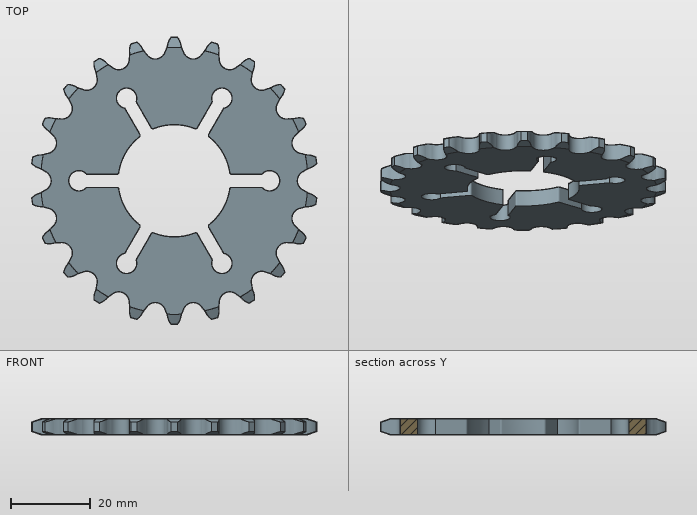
import cadquery as cq
import math

TOOTH_COUNT = 22
THICKNESS = 4.0
TIP_RADIUS = 36.0

PITCH_RADIUS = 33.45
SEAT_RADIUS = 2.6
SEAT_HALF_ANGLE = 68.0
FLANK_TOP_RADIUS = 33.8
FLANK_TOP_HALF_WIDTH = 1.7
TIP_HALF_WIDTH = 0.8
FLANK_ARC_RADIUS = 7.2
TOP_ARC_RADIUS = 4.3

BEVEL_START_RADIUS = 33.45
TIP_THICKNESS = 2.4
BEVEL_OVERHANG = 0.7

BORE_RADIUS = 14.0
SLOT_COUNT = 6
SLOT_WIDTH = 3.25
SLOT_END_DISTANCE = 23.9
SLOT_END_RADIUS = 2.5
SLOT_MOUTH_FILLET = 0.5

TOOTH_PITCH = 360.0 / TOOTH_COUNT


def turned(point, degrees):
    """Rotate a point about the sprocket axis."""
    angle = math.radians(degrees)
    x, y = point
    return (
        x * math.cos(angle) - y * math.sin(angle),
        x * math.sin(angle) + y * math.cos(angle),
    )


def seat_point(degrees):
    """Point on the roller seat at +Y, measured from the bottom of the seat."""
    angle = math.radians(degrees)
    return (
        SEAT_RADIUS * math.sin(angle),
        PITCH_RADIUS - SEAT_RADIUS * math.cos(angle),
    )


def toothed_disc():
    """Plain disc with the full tooth outline, drawn clockwise from the tooth at +Y."""
    outline = cq.Workplane("XY").moveTo(-TIP_HALF_WIDTH, TIP_RADIUS)
    for tooth in range(TOOTH_COUNT):
        tooth_turn = -tooth * TOOTH_PITCH
        seat_turn = tooth_turn - TOOTH_PITCH / 2
        next_turn = tooth_turn - TOOTH_PITCH

        outline = outline.lineTo(*turned((TIP_HALF_WIDTH, TIP_RADIUS), tooth_turn))
        outline = outline.radiusArc(
            turned((FLANK_TOP_HALF_WIDTH, FLANK_TOP_RADIUS), tooth_turn), TOP_ARC_RADIUS
        )
        outline = outline.radiusArc(
            turned(seat_point(-SEAT_HALF_ANGLE), seat_turn), -FLANK_ARC_RADIUS
        )

        outline = outline.threePointArc(
            turned(seat_point(0), seat_turn), turned(seat_point(SEAT_HALF_ANGLE), seat_turn)
        )

        outline = outline.radiusArc(
            turned((-FLANK_TOP_HALF_WIDTH, FLANK_TOP_RADIUS), next_turn), -FLANK_ARC_RADIUS
        )
        outline = outline.radiusArc(
            turned((-TIP_HALF_WIDTH, TIP_RADIUS), next_turn), TOP_ARC_RADIUS
        )
    return outline.close().extrude(THICKNESS / 2, both=True)


def bevel_envelope():
    """Turned blank whose rim tapers to the tip thickness at the tip radius."""
    slope = (THICKNESS - TIP_THICKNESS) / 2 / (TIP_RADIUS - BEVEL_START_RADIUS)
    rim_radius = TIP_RADIUS + BEVEL_OVERHANG
    rim_half = THICKNESS / 2 - slope * (rim_radius - BEVEL_START_RADIUS)
    return (
        cq.Workplane("XZ")
        .moveTo(0, -THICKNESS / 2)
        .lineTo(BEVEL_START_RADIUS, -THICKNESS / 2)
        .lineTo(rim_radius, -rim_half)
        .lineTo(rim_radius, rim_half)
        .lineTo(BEVEL_START_RADIUS, THICKNESS / 2)
        .lineTo(0, THICKNESS / 2)
        .close()
        .revolve(360, (0, 0, 0), (0, 1, 0))
    )


def bore_and_slots():
    """Bore with its radial keyhole slots and rounded slot mouths, as one cutter."""
    cutter = cq.Workplane("XY").circle(BORE_RADIUS).extrude(THICKNESS / 2, both=True)
    slot = (
        cq.Workplane("XY")
        .center(SLOT_END_DISTANCE / 2, 0)
        .rect(SLOT_END_DISTANCE, SLOT_WIDTH)
        .extrude(THICKNESS / 2, both=True)
    )
    for index in range(SLOT_COUNT):
        turn = index * 360.0 / SLOT_COUNT
        cutter = cutter.union(slot.rotate((0, 0, 0), (0, 0, 1), turn))
    cutter = cutter.edges("|Z").fillet(SLOT_MOUTH_FILLET)
    slot_ends = (
        cq.Workplane("XY")
        .polarArray(SLOT_END_DISTANCE, 0, 360, SLOT_COUNT)
        .circle(SLOT_END_RADIUS)
        .extrude(THICKNESS / 2, both=True)
    )
    return cutter.union(slot_ends)


result = toothed_disc().intersect(bevel_envelope()).cut(bore_and_slots())